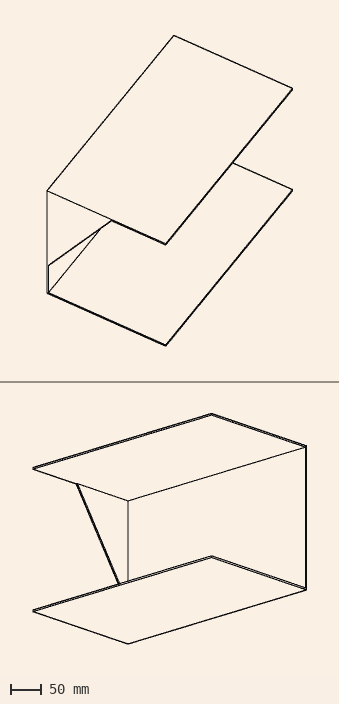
import cadquery as cq

width = 226.0
length = 400.0
height = 248.0
wall = 3.0

gusset_reach = 120.0
gusset_drop = 177.0
gusset_thickness = wall


def make_channel():
    """C-shaped channel along Y, open toward +X, with its outer corner at the origin."""
    outer = cq.Workplane("XY").box(width, length, height, centered=False)
    cavity = (
        cq.Workplane("XY")
        .box(width - wall, length, height - 2 * wall, centered=False)
        .translate((wall, 0, wall))
    )
    return outer.cut(cavity)


def make_gusset():
    """Flat corner plate flush with the -Y end, reaching the inner faces of the walls."""
    inner_top = height - wall
    corners = [
        (wall, inner_top),
        (wall + gusset_reach, inner_top),
        (wall, inner_top - gusset_drop),
    ]
    return cq.Workplane("XZ").polyline(corners).close().extrude(-gusset_thickness)


result = make_channel().union(make_gusset())